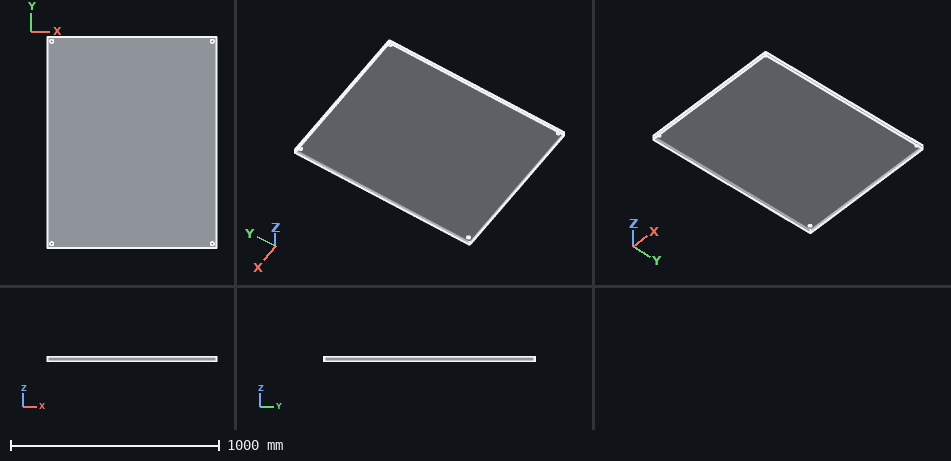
import cadquery as cq

width = 813.0
length = 1013.0
height = 22.0
sheet = 1.5

outer_bend_radius = 2.0
inner_bend_radius = outer_bend_radius - sheet

corner_relief = 2.0

hole_diameter = 14.0
hole_inset = 21.0


def rounded_block(size_x, size_y, bend_radius):
    """Block with its four top edges rounded to the bend radius."""
    block = cq.Workplane("XY").box(size_x, size_y, height)
    return block.faces(">Z").edges().fillet(bend_radius)


def make_tray():
    """Flat panel with a flange folded down along every side."""
    outer = rounded_block(width, length, outer_bend_radius)
    cavity = rounded_block(width - 2 * sheet, length - 2 * sheet, inner_bend_radius)
    return outer.cut(cavity.translate((0, 0, -sheet)))


def corner_points(inset):
    """Workplane at the underside with a point inset from each corner."""
    return (
        cq.Workplane("XY", origin=(0, 0, -height / 2))
        .rect(width - 2 * inset, length - 2 * inset, forConstruction=True)
        .vertices()
    )


def make_corner_reliefs():
    """Square notches through the full height at the four corners."""
    return corner_points(0).rect(2 * corner_relief, 2 * corner_relief).extrude(height)


def make_mounting_holes():
    """One round hole through the panel near each corner."""
    return corner_points(hole_inset).circle(hole_diameter / 2).extrude(height)


result = make_tray().cut(make_corner_reliefs()).cut(make_mounting_holes())